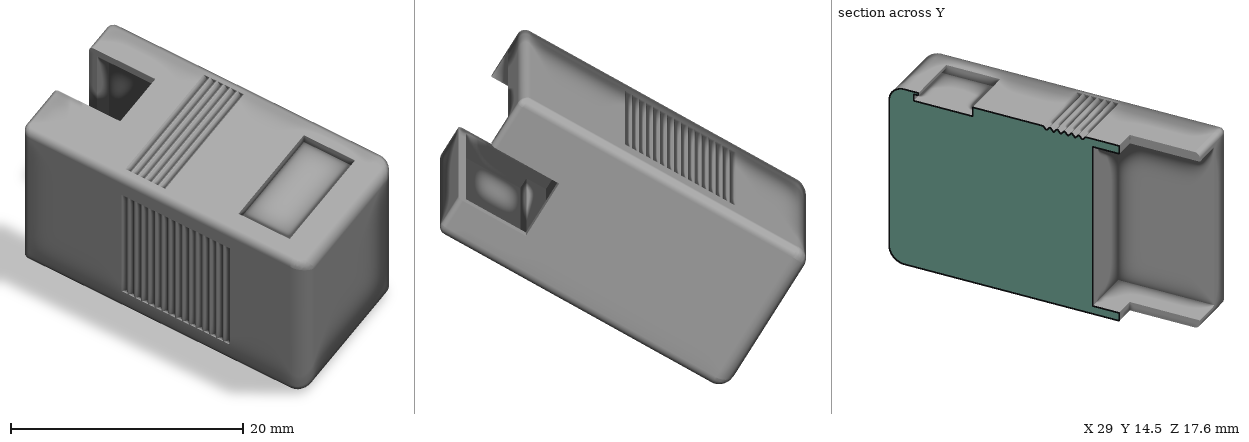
import cadquery as cq

LENGTH = 29.0
WIDTH = 14.5
HEIGHT = 17.63
CLOSED_END_RADIUS = 1.5
LONG_EDGE_RADIUS = 0.8
OPEN_END_RADIUS = 0.5

WALL = 0.85
OPEN_END_WALL = 0.78
CAVITY_FRONT_Y = -4.8
CAVITY_BACK_Y = 4.5
CAVITY_END_X = 9.3
POCKET_BACK_Y = 5.55
POCKET_END_X = 7.37
NOTCH_LENGTH = 6.75
NOTCH_FRONT_Y = -2.0
NOTCH_BACK_Y = 3.6

GROOVE_WIDTH = 0.6
GROOVE_DEPTH = 0.35
GROOVE_PITCH = 0.7
FRONT_GROOVE_COUNT = 16
FRONT_GROOVE_START_X = 10.27
FRONT_GROOVE_LENGTH = 13.0
TOP_GROOVE_COUNT = 6
TOP_GROOVE_START_X = 10.0
TOP_GROOVE_LENGTH = 12.53

RECESS_START_X = 20.9
RECESS_END_X = 26.13
RECESS_WIDTH = 10.4
RECESS_DEPTH = 0.9
LIP_THICKNESS = 0.3
UNDERCUT = 0.45

FRONT_Y = -WIDTH / 2
TOP_Z = HEIGHT / 2
CAVITY_HEIGHT = HEIGHT - 2 * WALL


def block(x0, x1, y0, y1, z0, z1):
    """Box spanning the given limits along each axis."""
    return cq.Workplane("XY").box(x1 - x0, y1 - y0, z1 - z0, centered=False).translate((x0, y0, z0))


def full_height_block(x0, x1, y0, y1, height):
    """Box of the given height centred on Z = 0."""
    return block(x0, x1, y0, y1, -height / 2, height / 2)


def body():
    """Solid block with a different rounding on each group of edges."""
    solid = full_height_block(0, LENGTH, FRONT_Y, -FRONT_Y, HEIGHT)
    solid = solid.faces(">X").edges().fillet(CLOSED_END_RADIUS)
    solid = solid.edges("|X or (|Z and <X)").fillet(LONG_EDGE_RADIUS)
    return solid.faces("<X").edges("|Y").fillet(OPEN_END_RADIUS)


def cavity():
    """Inner space: the passage through the open end, the main space and the pocket in the back wall."""
    passage = full_height_block(0, CAVITY_END_X, CAVITY_FRONT_Y, NOTCH_BACK_Y, CAVITY_HEIGHT)
    main = full_height_block(OPEN_END_WALL, CAVITY_END_X, CAVITY_FRONT_Y, CAVITY_BACK_Y, CAVITY_HEIGHT)
    pocket = full_height_block(OPEN_END_WALL, POCKET_END_X, CAVITY_FRONT_Y, POCKET_BACK_Y, CAVITY_HEIGHT)
    return passage.union(main).union(pocket)


def notch():
    """Slot through the top and bottom walls at the open end."""
    return full_height_block(0, NOTCH_LENGTH, NOTCH_FRONT_Y, NOTCH_BACK_Y, HEIGHT)


def label_recess():
    """Shallow rectangular recess with an undercut below the lip."""
    floor_z = TOP_Z - RECESS_DEPTH
    half = RECESS_WIDTH / 2
    opening = block(RECESS_START_X, RECESS_END_X, -half, half, floor_z, TOP_Z)
    undercut = block(RECESS_START_X, RECESS_END_X + UNDERCUT, -half, half, floor_z, TOP_Z - LIP_THICKNESS)
    return opening.union(undercut)


def grooves(plane, surface, inward, start_x, count, length):
    """Row of V grooves cut into a face, with the profile drawn on the given plane."""
    cutters = cq.Workplane(plane)
    for index in range(count):
        x = start_x + index * GROOVE_PITCH
        profile = [
            (x, surface),
            (x + GROOVE_WIDTH, surface),
            (x + GROOVE_WIDTH / 2, surface + inward * GROOVE_DEPTH),
        ]
        cutters = cutters.add(cq.Workplane(plane).polyline(profile).close().extrude(length / 2, both=True))
    return cutters.combine()


front_grooves = grooves("XY", FRONT_Y, 1, FRONT_GROOVE_START_X, FRONT_GROOVE_COUNT, FRONT_GROOVE_LENGTH)
top_grooves = grooves("XZ", TOP_Z, -1, TOP_GROOVE_START_X, TOP_GROOVE_COUNT, TOP_GROOVE_LENGTH)

result = body()
for cutter in (cavity(), notch(), label_recess(), front_grooves, top_grooves):
    result = result.cut(cutter)